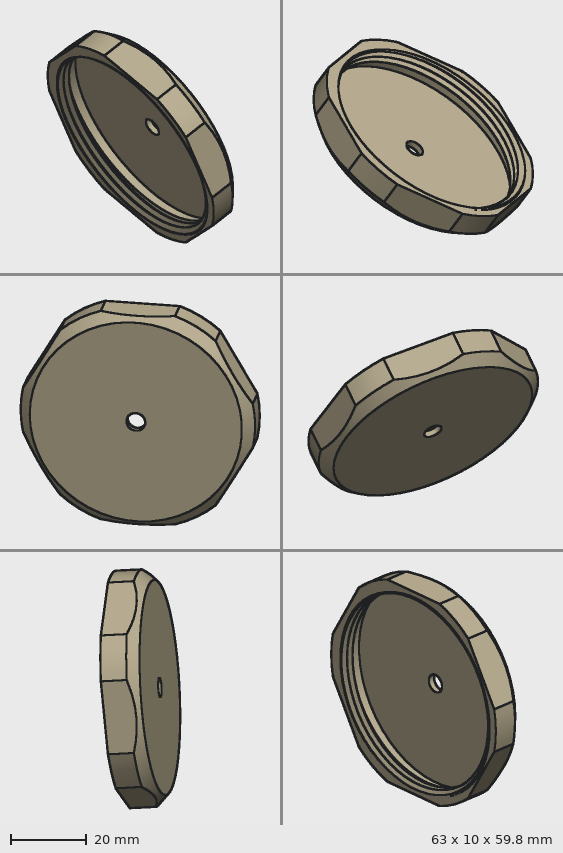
import cadquery as cq
import math

CAP_DIAMETER = 63.0
ACROSS_FLATS = 59.76
FLAT_COUNT = 6
CAP_HEIGHT = 10.0
BACK_CHAMFER = 3.0
VENT_DIAMETER = 5.0

BORE_DIAMETER = 55.0
POCKET_DEPTH = 8.0
MOUTH_CHAMFER = 0.5
RELIEF_DIAMETER = 58.4
RELIEF_WIDTH = 3.0

THREAD_PITCH = 2.0
THREAD_HALF_ANGLE = math.radians(30)
CREST_FLAT = 0.1
LEAD_IN_TURNS = 1
THREAD_TURNS = 4
CUTTER_OVERLAP = 0.05

bore_radius = BORE_DIAMETER / 2
mouth_y = -CAP_HEIGHT / 2
floor_y = mouth_y + POCKET_DEPTH


def cylinder(diameter, start_y, length):
    """Cylinder on the cap axis, running toward +Y from start_y."""
    return cq.Workplane("XZ", origin=(0, start_y, 0)).circle(diameter / 2).extrude(-length)


def make_body():
    """Disc chamfered at the back, with six flats, two of them facing up and down."""
    disc = cylinder(CAP_DIAMETER, mouth_y, CAP_HEIGHT).faces(">Y").chamfer(BACK_CHAMFER)
    across_corners = ACROSS_FLATS / math.cos(math.pi / FLAT_COUNT)
    hexagon = (
        cq.Workplane("XZ", origin=(0, mouth_y, 0))
        .polygon(FLAT_COUNT, across_corners)
        .extrude(-CAP_HEIGHT)
    )
    return disc.intersect(hexagon)


def make_thread_cutter():
    """Helical V cutter that starts in front of the mouth and runs out in the relief groove.

    The root of the V crosses the mouth plane on the +X side.
    """
    flank_slope = math.tan(THREAD_HALF_ANGLE)
    groove_half_width = (THREAD_PITCH - CREST_FLAT) / 2
    root_radius = bore_radius + groove_half_width / flank_slope
    base_radius = bore_radius - CUTTER_OVERLAP
    base_half_width = groove_half_width + CUTTER_OVERLAP * flank_slope

    profile = cq.Workplane("XZ").polyline([
        (base_radius, -base_half_width),
        (root_radius, 0),
        (base_radius, base_half_width),
    ]).close()
    helix = cq.Wire.makeHelix(THREAD_PITCH, THREAD_TURNS * THREAD_PITCH, bore_radius)
    cutter = profile.sweep(cq.Workplane(obj=helix), isFrenet=True)

    start_y = mouth_y - LEAD_IN_TURNS * THREAD_PITCH
    return cutter.rotate((0, 0, 0), (1, 0, 0), -90).translate((0, start_y, 0))


def make_mouth_cone():
    """Short 45 degree cone that chamfers the edge of the bore at the mouth."""
    inner_y = mouth_y + MOUTH_CHAMFER
    half_section = cq.Workplane("XY").polyline([
        (0, mouth_y),
        (bore_radius + MOUTH_CHAMFER, mouth_y),
        (bore_radius, inner_y),
        (0, inner_y),
    ]).close()
    return half_section.revolve(360, (0, 0, 0), (0, 1, 0))


result = make_body()
result = result.cut(cylinder(BORE_DIAMETER, mouth_y, POCKET_DEPTH))
result = result.cut(make_thread_cutter())
result = result.cut(make_mouth_cone())
result = result.cut(cylinder(RELIEF_DIAMETER, floor_y - RELIEF_WIDTH, RELIEF_WIDTH))
result = result.cut(cylinder(VENT_DIAMETER, mouth_y, CAP_HEIGHT))